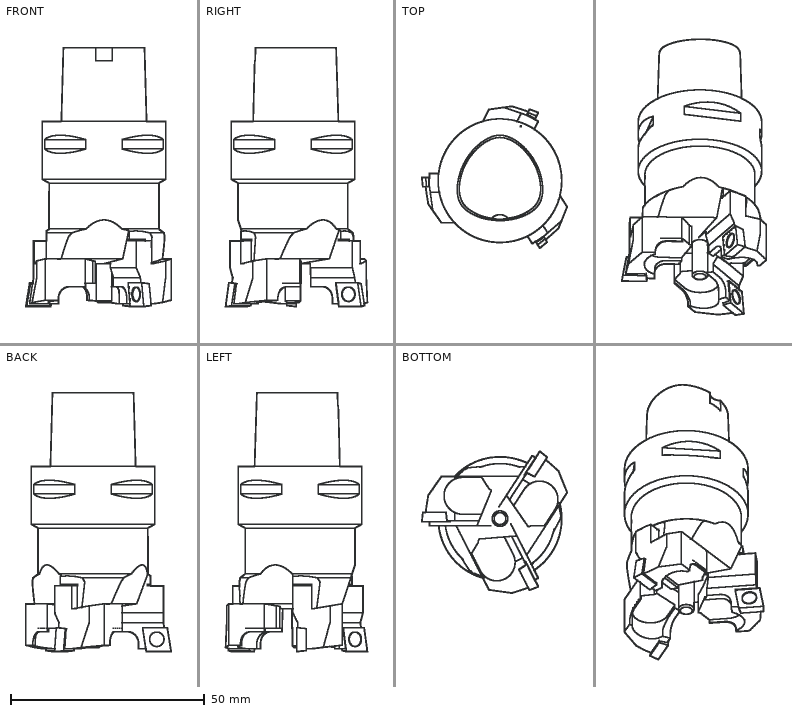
import cadquery as cq
import math


total_height = 67.0
tooth_angles = [180.0, 63.0, -57.0]
beyond = 26.8
overlap = 0.7

shank_base_z = 47.9
shank_base_radius = 11.05
shank_top_radius = 10.5
lobe_base_height = 0.75
lobe_top_height = 0.7
lobe_half_angle = 25.0
lobe_angles = [90.0, 210.0, 330.0]
lobe_pitch = 120.0
points_per_curve = 9
notch_radius = 2.8
notch_centre_y = -11.6
notch_depth = 3.4

flange_radius = 32.0 / 2
flange_bottom_z = 32.95
neck_radius = 28.5 / 2
neck_top_z = 31.95
neck_bottom_z = 20.1
head_shoulder_radius = 15.55
head_shoulder_z = 19.1
head_radius = 15.75
head_radius_z = 18.0
head_bottom_radius = 15.5
head_bottom_z = 11.05

groove_angles = [45.0, 135.0, 225.0, 315.0]
groove_z = 42.0
groove_floor_distance = 14.15
groove_floor_half_height = 1.2
groove_mouth_half_height = 2.35

pin_radius = 4.0 / 2
pin_bottom_z = 1.1
pin_chamfer = 0.5

block_top_z = 17.0
block_radius = 18.2
block_front_y = -1.9
block_back_y = 3.0
crease_y = 1.6
wall_slope = 0.14
heel_y = 10.9
heel_radius = 15.15
heel_slope = 0.7
inner_wall = [(4.9, heel_y), (2.9, 7.8), (2.2, 7.3), (5.95, block_front_y)]
seat_radius = 14.9
seat_back_y = 6.35
lug_top_z = 12.4
flare_top_z = 7.5
flare_start_z = 6.7
flare_start_radius = 18.35
flare_bottom_radius = 19.35
rake_y = -0.6
rake_slope_top_z = 10.05
underside_front_z = 0.75
underside_heel_z = 1.7
arch_top_z = 5.15
arch_outer_radius = 11.7
arch_corner = 2.9
gullet_peak_z = 22.45
relief_height = 0.4
relief_depth = 0.8
hollow_top_z = 6.1
hollow_centre = (9.7, 5.9)
hollow_radius = 4.75

insert_front_y = -0.9
insert_thickness = 2.5
insert_top_z = 6.2
insert_bottom = (13.75, 20.25)
insert_top = (12.8, 19.2)
insert_relief = 6.0
screw_centre = (16.5, 3.2)
screw_head_diameter = 3.75
screw_shank_diameter = 2.8
screw_recess = 0.15
screw_rim_y = insert_front_y + 0.3
screw_cone_height = 1.2
screw_length = 5.35


def turned(shape, angle):
    return shape.rotate((0, 0, 0), (0, 0, 1), angle)


def block(x_range, y_range, z_range):
    size = [high - low for low, high in (x_range, y_range, z_range)]
    return cq.Workplane("XY").box(*size, centered=False).translate((x_range[0], y_range[0], z_range[0]))


def along_x(points, x_low, x_high):
    """Solid with a (y, z) outline, running along x."""
    return cq.Workplane("YZ").workplane(offset=x_low).polyline(points).close().extrude(x_high - x_low)


def shank_point(radius, lobe_height, angle, z):
    """Point of the trilobe curve whose outward normal has the given angle."""
    normal = math.radians(angle)
    phase = 3 * math.radians(angle - lobe_angles[0])
    support = radius + lobe_height * math.cos(phase)
    slide = -3 * lobe_height * math.sin(phase)
    x = support * math.cos(normal) - slide * math.sin(normal)
    y = support * math.sin(normal) + slide * math.cos(normal)
    return cq.Vector(x, y, z)


def shank_outline(radius, lobe_height, z):
    steps = points_per_curve - 1
    edges = []
    for lobe in lobe_angles:
        stops = [lobe - lobe_half_angle, lobe + lobe_half_angle, lobe + lobe_pitch - lobe_half_angle]
        for start, end in zip(stops, stops[1:]):
            angles = [start + (end - start) * i / steps for i in range(steps + 1)]
            edges.append(cq.Edge.makeSpline([shank_point(radius, lobe_height, a, z) for a in angles]))
    return cq.Wire.assembleEdges(edges)


def make_shank():
    base = shank_outline(shank_base_radius, lobe_base_height, shank_base_z)
    top = shank_outline(shank_top_radius, lobe_top_height, total_height)
    shank = cq.Workplane(cq.Solid.makeLoft([base, top], True))
    notch = (
        cq.Workplane("XY", origin=(0, notch_centre_y, total_height - notch_depth))
        .circle(notch_radius)
        .extrude(beyond)
    )
    return shank.cut(notch)


def make_round_body():
    profile = [
        (0, shank_base_z),
        (flange_radius, shank_base_z),
        (flange_radius, flange_bottom_z),
        (neck_radius, neck_top_z),
        (neck_radius, neck_bottom_z),
        (head_shoulder_radius, head_shoulder_z),
        (head_radius, head_radius_z),
        (head_bottom_radius, head_bottom_z),
        (0, head_bottom_z),
    ]
    return cq.Workplane("XZ").polyline(profile).close().revolve(360, (0, 0), (0, 1))


def make_groove():
    flank = (groove_mouth_half_height - groove_floor_half_height) / (flange_radius - groove_floor_distance)
    outside = flange_radius + overlap
    outside_half_height = groove_floor_half_height + flank * (outside - groove_floor_distance)
    outline = [
        (groove_floor_distance, groove_z - groove_floor_half_height),
        (outside, groove_z - outside_half_height),
        (outside, groove_z + outside_half_height),
        (groove_floor_distance, groove_z + groove_floor_half_height),
    ]
    return cq.Workplane("XZ").polyline(outline).close().extrude(beyond, both=True)


def make_pin():
    height = head_bottom_z + overlap - pin_bottom_z
    pin = cq.Workplane("XY", origin=(0, 0, pin_bottom_z)).circle(pin_radius).extrude(height)
    return pin.faces("<Z").chamfer(pin_chamfer)


def outer_wall(radius):
    """Corners of the outer wall, from the crease back to the heel."""
    corner_y = (radius + wall_slope * crease_y - heel_radius - heel_slope * heel_y) / (wall_slope - heel_slope)
    corner_radius = radius - wall_slope * (corner_y - crease_y)
    return [(radius, crease_y), (corner_radius, corner_y), (heel_radius, heel_y)]


def flare_section(radius, z):
    points = [(arch_outer_radius, rake_y), (radius, rake_y)]
    points += outer_wall(radius) + [(arch_outer_radius, heel_y)]
    return cq.Wire.makePolygon([cq.Vector(x, y, z) for x, y in points], close=True)


def flare_part(radius_low, z_low, radius_high, z_high):
    sections = [flare_section(radius_low, z_low), flare_section(radius_high, z_high)]
    return cq.Workplane(cq.Solid.makeLoft(sections, True))


def make_arch():
    end_z = arch_top_z - arch_corner
    middle = arch_outer_radius - arch_corner
    diagonal = arch_corner * math.sqrt(0.5)
    return (
        cq.Workplane("XZ")
        .moveTo(0, 0)
        .lineTo(0, arch_top_z)
        .lineTo(middle, arch_top_z)
        .threePointArc((middle + diagonal, end_z + diagonal), (arch_outer_radius, end_z))
        .lineTo(arch_outer_radius, 0)
        .close()
        .extrude(beyond, both=True)
    )


def make_hollow():
    centre_x, centre_y = hollow_centre
    channel = block((0, centre_x), (centre_y - hollow_radius, centre_y + hollow_radius), (0, hollow_top_z))
    round_end = cq.Workplane("XY").center(centre_x, centre_y).circle(hollow_radius).extrude(hollow_top_z)
    return channel.union(round_end)


def make_tooth():
    plan = [(block_radius, block_front_y)] + outer_wall(block_radius) + inner_wall
    tooth = cq.Workplane("XY").polyline(plan).close().extrude(block_top_z)
    above_lug = along_x(
        [(block_back_y, head_bottom_z), (heel_y, lug_top_z), (heel_y, beyond), (block_back_y, beyond)],
        0, beyond,
    )
    below_rake = along_x(
        [(block_front_y, rake_slope_top_z), (rake_y, flare_top_z), (rake_y, 0), (block_front_y, 0)],
        0, beyond,
    )
    tooth = tooth.cut(above_lug).cut(below_rake)
    tooth = tooth.union(flare_part(flare_start_radius, flare_start_z, block_radius, flare_top_z))
    tooth = tooth.union(flare_part(flare_bottom_radius, 0, flare_start_radius, flare_start_z))
    below_tooth = along_x(
        [
            (block_front_y, 0),
            (block_front_y, underside_front_z),
            (block_back_y, underside_front_z),
            (heel_y, underside_heel_z),
            (heel_y, 0),
        ],
        0, beyond,
    )
    return tooth.cut(below_tooth).cut(make_arch()).cut(make_hollow())


def make_seat():
    return block((seat_radius, beyond), (block_front_y, seat_back_y), (0, neck_bottom_z))


def make_relief():
    """Narrow groove between the top of the block and the head."""
    return block(
        (seat_radius - relief_depth, beyond),
        (block_front_y, block_back_y),
        (block_top_z, block_top_z + relief_height),
    )


def make_gullet(angle, next_angle):
    """Chip space between the heel of one tooth and the rake face of the next."""
    slope = (neck_radius - heel_y) / (gullet_peak_z - lug_top_z)
    outline = [
        (block_back_y, head_bottom_z),
        (heel_y, lug_top_z),
        (beyond, lug_top_z + (beyond - heel_y) / slope),
        (beyond, 0),
        (block_back_y, 0),
    ]
    behind_next_rake = block((-beyond, 2 * beyond), (block_front_y, 2 * beyond), (0, 3 * beyond))
    gullet = turned(along_x(outline, -beyond, beyond), angle)
    return gullet.cut(turned(behind_next_rake, next_angle))


def insert_outline(inset, y):
    corners = [
        (insert_bottom[0] + inset, inset),
        (insert_bottom[1] - inset, inset),
        (insert_top[1] - inset, insert_top_z - inset),
        (insert_top[0] + inset, insert_top_z - inset),
    ]
    return cq.Wire.makePolygon([cq.Vector(x, y, z) for x, z in corners], close=True)


def make_insert_blank():
    back_inset = insert_thickness * math.tan(math.radians(insert_relief))
    front = insert_outline(0, insert_front_y)
    back = insert_outline(back_inset, insert_front_y + insert_thickness)
    return cq.Workplane(cq.Solid.makeLoft([front, back], True))


def turned_about_screw_axis(profile):
    """Solid of revolution about the screw axis; its profile gives radius and depth along y."""
    solid = cq.Workplane("XY").polyline(profile).close().revolve(360, (0, 0), (0, 1))
    return solid.translate((screw_centre[0], 0, screw_centre[1]))


def screw_profile(front_y):
    """Half section of the countersunk screw, with its head drawn out to front_y."""
    cone_end_y = screw_rim_y + screw_cone_height
    end_y = screw_rim_y + screw_length
    rim_radius = screw_head_diameter / 2
    shank_radius = screw_shank_diameter / 2
    return [
        (0, front_y),
        (rim_radius, front_y),
        (rim_radius, screw_rim_y),
        (shank_radius, cone_end_y),
        (shank_radius, end_y),
        (0, end_y),
    ]


def make_screw():
    """Countersunk screw; its head sits a little below the insert face."""
    return turned_about_screw_axis(screw_profile(insert_front_y + screw_recess))


def make_screw_hole():
    """The shape of the screw, open to the front of the insert face."""
    return turned_about_screw_axis(screw_profile(insert_front_y - overlap))


screw = make_screw()
insert_blank = make_insert_blank()
insert = insert_blank.cut(make_screw_hole())
tooth = make_tooth()

holder = make_round_body()
for angle in groove_angles:
    holder = holder.cut(turned(make_groove(), angle))
for index, angle in enumerate(tooth_angles):
    holder = holder.cut(turned(make_seat(), angle)).cut(turned(make_relief(), angle))
    holder = holder.cut(make_gullet(angle, tooth_angles[index - 1]))
for angle in tooth_angles:
    holder = holder.union(turned(tooth, angle))
holder = holder.union(make_pin()).union(make_shank())
for angle in tooth_angles:
    holder = holder.cut(turned(insert_blank, angle)).cut(turned(screw, angle))

inserts = [turned(insert, angle).val() for angle in tooth_angles]
screws = [turned(screw, angle).val() for angle in tooth_angles]
result = cq.Compound.makeCompound([holder.solids().val(), *inserts, *screws])